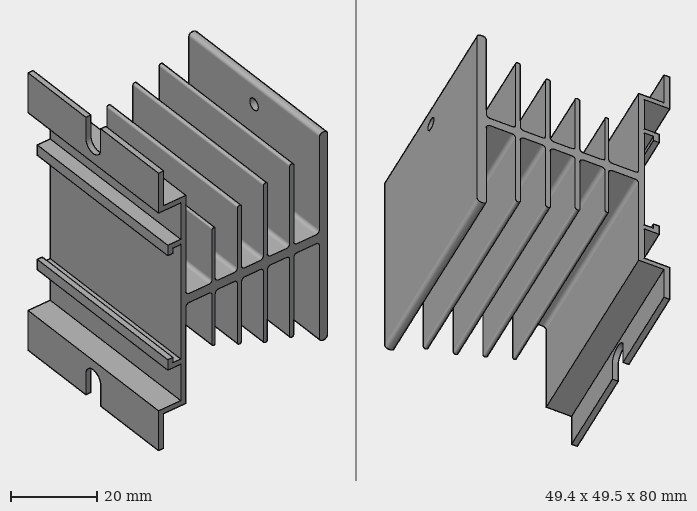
import cadquery as cq

length = 49.4
depth = 49.5
sheet = 1.5

flange_top = 40.0
plate_top = 30.0
plate_back = 8.0
plate_front = plate_back - sheet

hook_top = 18.0
hook_front = 2.7
hook_lip_height = 3.0

rear_thickness = 2.4
rear_front = depth - rear_thickness
rear_edge_radius = 1.0
web_thickness = 2.6
root_radius = 1.0

fins = [
    (39.0, 1.2, 25.0),
    (31.3, 1.2, 23.0),
    (23.7, 1.2, 20.0),
    (16.15, 0.9, 17.0),
]
fin_tip_radius_ratio = 0.48

slot_width = 5.6
slot_depth = 8.8
hole_diameter = 3.2
hole_z = 24.0


def bar(y_min, y_max, z_min, z_max):
    """Rectangular bar along the full length of the extrusion."""
    return cq.Workplane("XY").box(
        length, y_max - y_min, z_max - z_min, centered=(True, False, False)
    ).translate((0, y_min, z_min))


def rear_plate():
    """Thick plate behind the web, with rounded upper and lower edges."""
    plate = bar(rear_front, depth, -plate_top, plate_top)
    return plate.edges("|X").fillet(rear_edge_radius)


def fin(y_center, thickness, half_height):
    """Thin plate crossing the web, with nearly half-round tips."""
    plate = bar(y_center - thickness / 2, y_center + thickness / 2, -half_height, half_height)
    return plate.edges("|X").fillet(fin_tip_radius_ratio * thickness)


def mounting_half():
    """Upper step, flange and hook; the lower ones are their mirror image."""
    step = bar(0, plate_back, plate_top - sheet, plate_top)
    flange = bar(0, sheet, plate_top - sheet, flange_top)
    hook_arm = bar(hook_front, plate_back, hook_top - sheet, hook_top)
    hook_lip = bar(hook_front, hook_front + sheet, hook_top - hook_lip_height, hook_top)
    return step.union(flange).union(hook_arm).union(hook_lip)


def heat_sink_body():
    """Web, plates and fins, with rounded roots where they meet the web."""
    web = bar(plate_front, rear_front, -web_thickness / 2, web_thickness / 2)
    front_plate = bar(plate_front, plate_back, -plate_top, plate_top)
    body = web.union(front_plate).union(rear_plate())
    for fin_y, thickness, half_height in fins:
        body = body.union(fin(fin_y, thickness, half_height))

    reach = web_thickness / 2 + root_radius / 2
    root_zone = cq.selectors.BoxSelector(
        (-length, plate_back - root_radius / 2, -reach),
        (length, rear_front + root_radius / 2, reach),
    )
    return body.edges("|X").edges(root_zone).fillet(root_radius)


def flange_slot():
    """Round-ended slot, open at the top of the upper flange."""
    slot_radius = slot_width / 2
    slot_bottom = flange_top - slot_depth
    return (
        cq.Workplane("XZ")
        .moveTo(-slot_radius, flange_top)
        .lineTo(-slot_radius, slot_bottom + slot_radius)
        .threePointArc((0, slot_bottom), (slot_radius, slot_bottom + slot_radius))
        .lineTo(slot_radius, flange_top)
        .close()
        .extrude(-sheet)
    )


def rear_hole():
    """Through hole near the upper edge of the rear plate."""
    return (
        cq.Workplane("XZ", origin=(0, rear_front, 0))
        .center(0, hole_z)
        .circle(hole_diameter / 2)
        .extrude(-rear_thickness)
    )


mounting = mounting_half()
slot = flange_slot()
result = heat_sink_body().union(mounting).union(mounting.mirror("XY"))
result = result.cut(slot).cut(slot.mirror("XY")).cut(rear_hole())